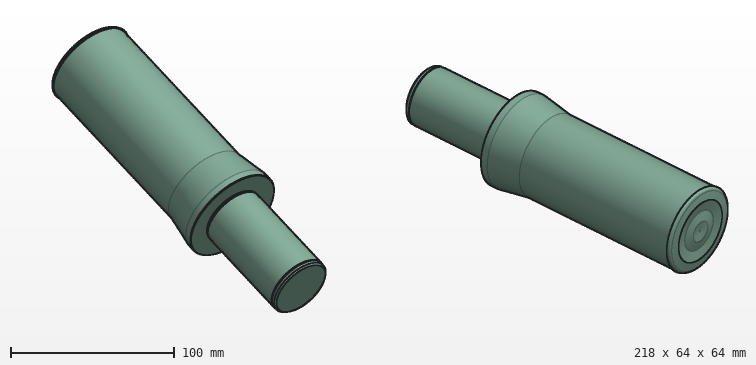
import cadquery as cq

overall_length = 218.0
axis_direction = (1, 0, 0)

head_radius = 29.0
rim_middle_radius = 28.3
face_edge_radius = 26.8
outer_ridge_radius = 21.0
valley_radius = 13.7
valley_flat_width = 0.2
inner_ridge_radius = 7.0
centre_flat_radius = 0.5
face_edge_x = 0.9
rim_middle_x = 1.5
head_widest_x = 2.8
head_back_x = 3.3
valley_depth = 1.3
centre_depth = 0.7

body_radius = 57.0 / 2
flange_radius = 64.0 / 2
taper_start_x = 120.3
taper_end_x = 142.8
flange_back_x = 148.0
flange_chamfer = 0.5

shank_radius = 40.0 / 2
relief_radius = 39.5 / 2
relief_end_x = 149.0
relief_ramp = 0.7
end_relief_x = 214.3
shank_chamfer = 1.0


def revolve_profile(profile):
    """Turn a closed half-profile, drawn as (x, radius), about the X axis."""
    return profile.close().revolve(360, (0, 0, 0), axis_direction)


def make_cutting_head():
    """Disc with two ring-shaped ridges on its face and a rounded rim."""
    profile = (
        cq.Workplane("XY")
        .moveTo(centre_depth, 0)
        .lineTo(centre_depth, centre_flat_radius)
        .lineTo(0, inner_ridge_radius)
        .lineTo(valley_depth, valley_radius - valley_flat_width)
        .lineTo(valley_depth, valley_radius)
        .lineTo(0, outer_ridge_radius)
        .lineTo(face_edge_x, face_edge_radius)
        .threePointArc((rim_middle_x, rim_middle_radius), (head_widest_x, head_radius))
        .lineTo(head_back_x, body_radius)
        .lineTo(head_back_x, 0)
    )
    return revolve_profile(profile)


def make_holder():
    """Cylindrical body, flared flange and shank in one turned piece."""
    profile = (
        cq.Workplane("XY")
        .moveTo(head_back_x, 0)
        .lineTo(head_back_x, body_radius)
        .lineTo(taper_start_x, body_radius)
        .lineTo(taper_end_x, flange_radius)
        .lineTo(flange_back_x - flange_chamfer, flange_radius)
        .lineTo(flange_back_x, flange_radius - flange_chamfer)
        .lineTo(flange_back_x, relief_radius)
        .lineTo(relief_end_x, relief_radius)
        .lineTo(relief_end_x + relief_ramp, shank_radius)
        .lineTo(end_relief_x, shank_radius)
        .lineTo(end_relief_x + relief_ramp, relief_radius)
        .lineTo(overall_length - shank_chamfer, relief_radius)
        .lineTo(overall_length, relief_radius - shank_chamfer)
        .lineTo(overall_length, 0)
    )
    return revolve_profile(profile)


cutting_head = make_cutting_head()
holder = make_holder()

result = cq.Compound.makeCompound([cutting_head.val(), holder.val()])